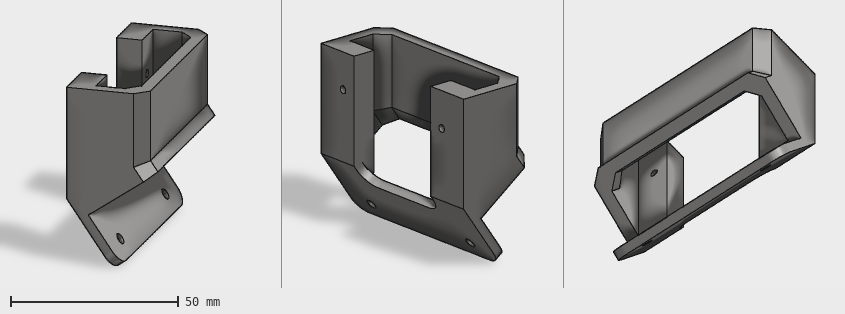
import cadquery as cq
import math

width = 65.0
body_depth = 25.0
front_height = 35.0
tilt_angle = 35.0
wall = 4.0
corner_chamfer = 4.0
pillar_depth = 8.0

foot_depth = 28.0
foot_length = 7.7
plate_thickness = 3.0
plate_length = 25.6
plate_corner_radius = 5.0

opening_width = 35.0
opening_radius = 6.0

hole_pitch = 45.0
plate_hole_diameter = 3.4
plate_hole_end_distance = 6.0
pillar_hole_diameter = 2.4
pillar_hole_drop = 12.0

reach = 130.0

tilt = math.radians(tilt_angle)
hole_sides = (-hole_pitch / 2, hole_pitch / 2)

tilted = cq.Plane(
    origin=(0, 0, -front_height),
    xDir=(math.cos(tilt), 0, math.sin(tilt)),
    normal=(math.sin(tilt), 0, -math.cos(tilt)),
)
plate_end = cq.selectors.DirectionMinMaxSelector(tilted.zDir, True)
across_plate = cq.selectors.ParallelDirSelector(tilted.xDir)


def block(plane, x_min, x_max, size_y, z_min, z_max):
    """Box centred across Y in the given plane."""
    return (
        cq.Workplane(plane)
        .workplane(offset=z_min)
        .center((x_min + x_max) / 2, 0)
        .rect(x_max - x_min, size_y)
        .extrude(z_max - z_min)
    )


def chamfered_block(plane, x_min, x_max, size_y, z_min, z_max):
    """Block with its two rear corner edges chamfered."""
    half = size_y / 2
    outline = [
        (x_min, -half),
        (x_max - corner_chamfer, -half),
        (x_max, -half + corner_chamfer),
        (x_max, half - corner_chamfer),
        (x_max - corner_chamfer, half),
        (x_min, half),
    ]
    return cq.Workplane(plane).workplane(offset=z_min).polyline(outline).close().extrude(z_max - z_min)


def make_shell():
    """Upright block trimmed by the tilted planes, joined to the tilted foot."""
    upright = chamfered_block(cq.Plane.XY(), 0, body_depth, width, -reach, 0)
    upright = upright.intersect(block(tilted, 0, reach, reach, -reach, foot_length))
    foot = chamfered_block(tilted, 0, foot_depth, width, 0, foot_length)
    return upright.union(foot)


def make_cavity():
    """Open-ended cavity that follows the outer wall through both sections."""
    inner_width = width - 2 * wall
    upright = chamfered_block(cq.Plane.XY(), pillar_depth, body_depth - wall, inner_width, -reach, 0)
    foot_start = foot_depth / 2
    foot = chamfered_block(tilted, foot_start, foot_depth - wall, inner_width, 0, foot_length)
    above_foot = block(tilted, 0, reach, reach, -reach, foot_length)
    return upright.intersect(above_foot).union(foot)


def make_plate():
    """Mounting plate with rounded lower corners."""
    plate = block(tilted, 0, plate_thickness, width, 0, plate_length)
    return plate.faces(plate_end).edges(across_plate).fillet(plate_corner_radius)


def make_opening():
    """Gap between the pillars, ending in a round-cornered notch in the plate."""
    gap = block(cq.Plane.XY(), 0, pillar_depth, opening_width, -reach, 0)
    gap = gap.intersect(block(tilted, plate_thickness, reach, reach, -reach, foot_length))
    notch = block(tilted, 0, plate_thickness, opening_width, -pillar_depth, foot_length)
    notch = notch.faces(plate_end).edges(across_plate).fillet(opening_radius)
    return gap.union(notch)


def make_holes():
    """Two holes through the plate and two through the pillars."""
    plate_plane = cq.Plane(origin=tilted.origin, xDir=(0, 1, 0), normal=tilted.xDir)
    plate_hole_position = plate_length - plate_hole_end_distance
    plate_holes = (
        cq.Workplane(plate_plane)
        .pushPoints([(y, -plate_hole_position) for y in hole_sides])
        .circle(plate_hole_diameter / 2)
        .extrude(plate_thickness)
    )
    pillar_holes = (
        cq.Workplane("YZ")
        .pushPoints([(y, -pillar_hole_drop) for y in hole_sides])
        .circle(pillar_hole_diameter / 2)
        .extrude(pillar_depth)
    )
    return plate_holes.union(pillar_holes)


result = make_shell().cut(make_cavity()).union(make_plate()).cut(make_opening()).cut(make_holes())